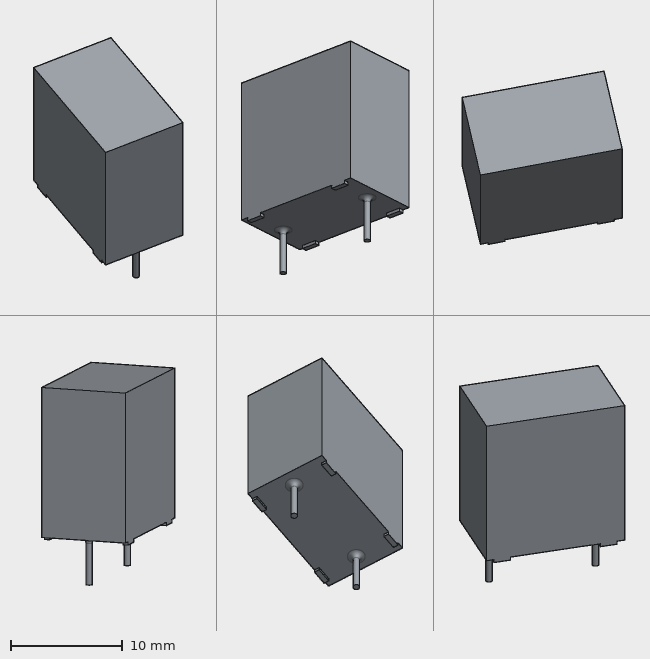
import cadquery as cq

width = 13.0
depth = 8.0
total_height = 18.0

pin_diameter = 0.6
pin_length = 4.3
pin_pitch = 10.0
pin_fillet_radius = 0.5

foot_width = 1.55
foot_depth = 0.5
foot_height = 0.3

case_height = total_height - pin_length
pin_positions_x = (-pin_pitch / 2, pin_pitch / 2)


def make_case():
    """Plain block with its underside at Z = 0."""
    return cq.Workplane("XY").box(width, depth, case_height, centered=(True, True, False))


def make_feet():
    """Four small blocks below the case, in line with the pins along X."""
    foot_y = (depth - foot_depth) / 2
    centers = [(x, y) for x in pin_positions_x for y in (-foot_y, foot_y)]
    return (
        cq.Workplane("XY")
        .pushPoints(centers)
        .rect(foot_width, foot_depth)
        .extrude(-foot_height)
    )


def make_pin(x):
    """Round pin that flares into the underside of the case with a concave fillet."""
    pin_radius = pin_diameter / 2
    flare_radius = pin_radius + pin_fillet_radius
    arc_offset = pin_fillet_radius * (1 - 0.5 ** 0.5)
    return (
        cq.Workplane("XZ")
        .moveTo(0, 0)
        .lineTo(flare_radius, 0)
        .threePointArc((pin_radius + arc_offset, -arc_offset), (pin_radius, -pin_fillet_radius))
        .lineTo(pin_radius, -pin_length)
        .lineTo(0, -pin_length)
        .close()
        .revolve(360, (0, 0, 0), (0, 1, 0))
        .translate((x, 0, 0))
    )


result = make_case().union(make_feet())
for pin_x in pin_positions_x:
    result = result.union(make_pin(pin_x))